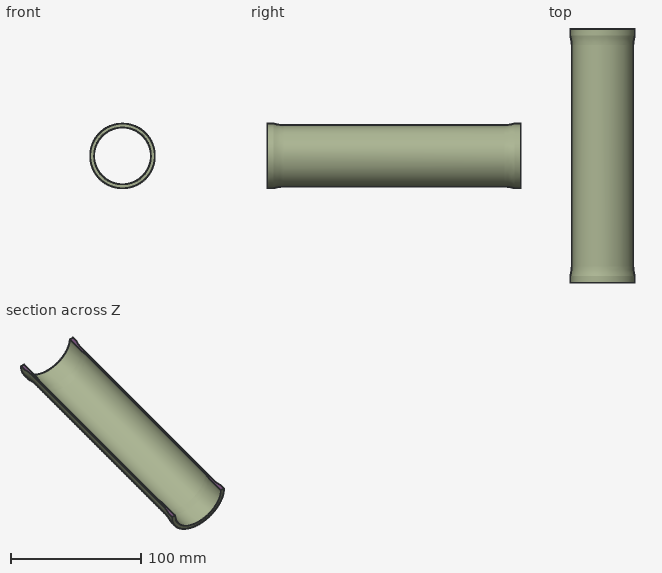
import cadquery as cq

length = 195.0
collar_radius = 25.0
tube_radius = 23.8

collar_length = 5.0
flare_length = 7.5

bore_radius = 22.5
end_bore_diameter = 43.5
end_bore_depth = 15.0
taper_length = 6.0

half_length = length / 2
end_bore_radius = end_bore_diameter / 2
collar_end = half_length - collar_length
flare_end = collar_end - flare_length
taper_start = half_length - end_bore_depth
taper_end = taper_start - taper_length

flare_rise = collar_radius - tube_radius
flare_radius = (flare_length**2 + flare_rise**2) / (2 * flare_rise)
flare_mid_y = flare_end + flare_length / 2
flare_mid_radius = tube_radius + flare_radius - (flare_radius**2 - (flare_length / 2) ** 2) ** 0.5

wall_section = (
    cq.Workplane("YZ")
    .moveTo(-taper_end, bore_radius)
    .lineTo(-taper_start, end_bore_radius)
    .lineTo(-half_length, end_bore_radius)
    .lineTo(-half_length, collar_radius)
    .lineTo(-collar_end, collar_radius)
    .threePointArc((-flare_mid_y, flare_mid_radius), (-flare_end, tube_radius))
    .lineTo(flare_end, tube_radius)
    .threePointArc((flare_mid_y, flare_mid_radius), (collar_end, collar_radius))
    .lineTo(half_length, collar_radius)
    .lineTo(half_length, end_bore_radius)
    .lineTo(taper_start, end_bore_radius)
    .lineTo(taper_end, bore_radius)
    .close()
)

result = wall_section.revolve(360, (0, 0, 0), (1, 0, 0))